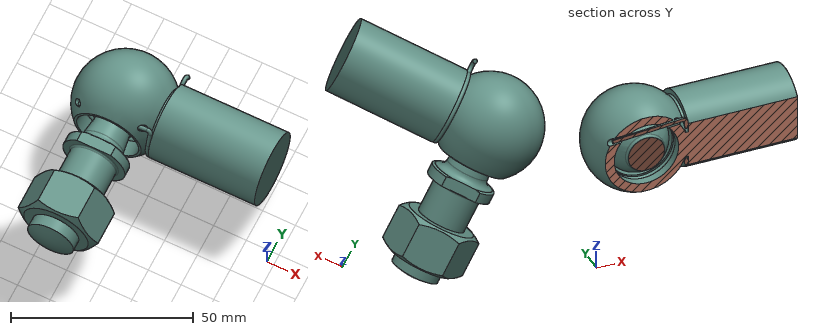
import cadquery as cq
import math

HEAD_RADIUS = 30.0 / 2
FACE_Y = -10.95
ARM_DIAMETER = 22.0
ARM_START_X = 12.45
ARM_END_X = 44.9
GROOVE_DIAMETER = 19.0

RETAINER_Y = -5.15
RETAINER_WIRE = 1.9
RETAINER_OUTER_DIAMETER = 22.9

BALL_RADIUS = 19.0 / 2
NECK_TOP_RADIUS = 5.3
NECK_BASE_RADIUS = 12.4 / 2
NECK_TOP_Y = -7.45
NECK_BASE_Y = -13.8
BALL_FILLET = 1.0
NECK_FILLET = 2.3
COLLAR_TOP_Y = NECK_BASE_Y - NECK_FILLET
COLLAR_BOTTOM_Y = -19.4
COLLAR_RADIUS = 19.0 / 2
COLLAR_BEVEL_WIDTH = 0.75
COLLAR_BEVEL_HEIGHT = 0.4
COLLAR_FLATS = 15.95
SHANK_RADIUS = 14.0 / 2
SHANK_FILLET = 0.5
SHANK_END_Y = -46.05
TIP_Y = HEAD_RADIUS - 62.25

NUT_FLATS = 21.15
NUT_TOP_Y = -29.9
NUT_HEIGHT = 12.8
NUT_FACE_RADIUS = 19.65 / 2
NUT_BEVEL_ANGLE = math.radians(30)

WIRE_DIAMETER = 1.25
LEG_HOLE_DIAMETER = 1.9
CLIP_X = 11.8
RING_RADIUS = 10.3
RING_START_Z = 2.9
UPRIGHT_LENGTH = 4.65
BEND_RADIUS = 1.1
LEG_END = cq.Vector(-9.95, -8.5, 6.7)
LOOP_RADIUS = (HEAD_RADIUS - WIRE_DIAMETER / 2 - RING_RADIUS) / 2

start_angle = math.asin(RING_START_Z / RING_RADIUS)
ring_start = cq.Vector(CLIP_X, -RING_RADIUS * math.cos(start_angle), RING_START_Z)
upright_direction = cq.Vector(0, math.sin(start_angle), math.cos(start_angle))
bend_start = ring_start + upright_direction * UPRIGHT_LENGTH
bend_corner = bend_start + upright_direction * BEND_RADIUS
leg_direction = (LEG_END - bend_corner).normalized()
leg_start = bend_corner + leg_direction * BEND_RADIUS


def cylinder_along(start, direction, length, diameter):
    return cq.Workplane(cq.Solid.makeCylinder(diameter / 2, length, start, direction))


def cylinder_y(top_y, bottom_y, diameter):
    return cylinder_along(cq.Vector(0, top_y, 0), cq.Vector(0, -1, 0), top_y - bottom_y, diameter)


def make_housing():
    groove_radius = GROOVE_DIAMETER / 2
    arm_radius = ARM_DIAMETER / 2
    outside = (
        cq.Workplane("XY")
        .moveTo(-HEAD_RADIUS, 0)
        .threePointArc(
            (0, HEAD_RADIUS),
            (math.sqrt(HEAD_RADIUS**2 - groove_radius**2), groove_radius),
        )
        .lineTo(ARM_START_X, groove_radius)
        .lineTo(ARM_START_X, arm_radius)
        .lineTo(ARM_END_X, arm_radius)
        .lineTo(ARM_END_X, 0)
        .close()
        .revolve(360, (0, 0, 0), (1, 0, 0))
    )
    cutter_size = 2 * ARM_START_X
    face_cutter = (
        cq.Workplane()
        .box(cutter_size, cutter_size, cutter_size)
        .translate((0, FACE_Y - cutter_size / 2, 0))
    )
    socket = (
        cq.Workplane("XY")
        .moveTo(0, BALL_RADIUS)
        .radiusArc((BALL_RADIUS, 0), BALL_RADIUS)
        .lineTo(BALL_RADIUS, RETAINER_Y + RETAINER_WIRE / 2)
        .lineTo(RETAINER_OUTER_DIAMETER / 2, RETAINER_Y + RETAINER_WIRE / 2)
        .lineTo(RETAINER_OUTER_DIAMETER / 2, RETAINER_Y - RETAINER_WIRE / 2)
        .lineTo(BALL_RADIUS, RETAINER_Y - RETAINER_WIRE / 2)
        .lineTo(BALL_RADIUS, FACE_Y)
        .lineTo(0, FACE_Y)
        .close()
        .revolve(360, (0, 0, 0), (0, 1, 0))
    )
    hole_length = (bend_corner - LEG_END).Length + HEAD_RADIUS
    leg_hole = cylinder_along(bend_corner, leg_direction, hole_length, LEG_HOLE_DIAMETER)
    return outside.cut(face_cutter).cut(socket).cut(leg_hole)


def make_retainer():
    ring_radius = (RETAINER_OUTER_DIAMETER - RETAINER_WIRE) / 2
    center = cq.Vector(0, RETAINER_Y, 0)
    return cq.Workplane(cq.Solid.makeTorus(ring_radius, RETAINER_WIRE / 2, center, cq.Vector(0, 1, 0)))


def make_stud():
    bevel_radius = COLLAR_RADIUS - COLLAR_BEVEL_WIDTH
    tip_height = SHANK_END_Y - TIP_Y
    tip_radius = (SHANK_RADIUS**2 + tip_height**2) / (2 * tip_height)
    fillet_middle = NECK_FILLET * (1 - math.sqrt(0.5))
    body = (
        cq.Workplane("XY")
        .moveTo(0, NECK_TOP_Y)
        .lineTo(NECK_TOP_RADIUS, NECK_TOP_Y)
        .lineTo(NECK_BASE_RADIUS, NECK_BASE_Y)
        .threePointArc(
            (NECK_BASE_RADIUS + fillet_middle, COLLAR_TOP_Y + fillet_middle),
            (NECK_BASE_RADIUS + NECK_FILLET, COLLAR_TOP_Y),
        )
        .lineTo(bevel_radius, COLLAR_TOP_Y)
        .lineTo(COLLAR_RADIUS, COLLAR_TOP_Y - COLLAR_BEVEL_HEIGHT)
        .lineTo(COLLAR_RADIUS, COLLAR_BOTTOM_Y)
        .lineTo(SHANK_RADIUS + SHANK_FILLET, COLLAR_BOTTOM_Y)
        .radiusArc((SHANK_RADIUS, COLLAR_BOTTOM_Y - SHANK_FILLET), -SHANK_FILLET)
        .lineTo(SHANK_RADIUS, SHANK_END_Y)
        .radiusArc((0, TIP_Y), tip_radius)
        .close()
        .revolve(360, (0, 0, 0), (0, 1, 0))
    )
    flats = cq.Workplane().box(2 * COLLAR_RADIUS, -2 * TIP_Y, COLLAR_FLATS)
    ball = cq.Workplane().sphere(BALL_RADIUS)
    stud = body.intersect(flats).union(ball)
    ball_edge = cq.selectors.BoxSelector(
        (-BALL_RADIUS, NECK_BASE_Y + BALL_FILLET, -BALL_RADIUS),
        (BALL_RADIUS, -BALL_FILLET, BALL_RADIUS),
        boundingbox=True,
    )
    return stud.edges("%CIRCLE").edges(ball_edge).fillet(BALL_FILLET)


def make_nut():
    corner_radius = NUT_FLATS / math.sqrt(3)
    bevel_height = (corner_radius - NUT_FACE_RADIUS) * math.tan(NUT_BEVEL_ANGLE)
    bottom_y = NUT_TOP_Y - NUT_HEIGHT
    hexagon = (
        cq.Workplane("XZ", origin=(0, NUT_TOP_Y, 0))
        .polygon(6, 2 * corner_radius)
        .extrude(NUT_HEIGHT)
    )
    envelope = (
        cq.Workplane("XY")
        .moveTo(0, NUT_TOP_Y)
        .lineTo(NUT_FACE_RADIUS, NUT_TOP_Y)
        .lineTo(corner_radius, NUT_TOP_Y - bevel_height)
        .lineTo(corner_radius, bottom_y + bevel_height)
        .lineTo(NUT_FACE_RADIUS, bottom_y)
        .lineTo(0, bottom_y)
        .close()
        .revolve(360, (0, 0, 0), (0, 1, 0))
    )
    return hexagon.intersect(envelope).cut(cylinder_y(NUT_TOP_Y, bottom_y, 2 * SHANK_RADIUS))


def make_clip():
    loop_center_y = RING_RADIUS + LOOP_RADIUS
    ring_end = cq.Vector(CLIP_X, RING_RADIUS, 0)
    loop_top = cq.Vector(CLIP_X, loop_center_y, LOOP_RADIUS)
    loop_end = cq.Vector(CLIP_X, loop_center_y + LOOP_RADIUS, 0)
    path = cq.Wire.assembleEdges([
        cq.Edge.makeLine(LEG_END, leg_start),
        cq.Edge.makeTangentArc(leg_start, leg_direction * -1, bend_start),
        cq.Edge.makeLine(bend_start, ring_start),
        cq.Edge.makeThreePointArc(ring_start, cq.Vector(CLIP_X, 0, -RING_RADIUS), ring_end),
        cq.Edge.makeThreePointArc(ring_end, loop_top, loop_end),
    ])
    start_plane = cq.Plane(origin=LEG_END.toTuple(), normal=leg_direction.toTuple())
    return cq.Workplane(start_plane).circle(WIRE_DIAMETER / 2).sweep(path)


housing = make_housing()
retainer = make_retainer()
stud = make_stud()
nut = make_nut()
clip = make_clip()

result = cq.Compound.makeCompound([housing.val(), retainer.val(), stud.val(), nut.val(), clip.val()])